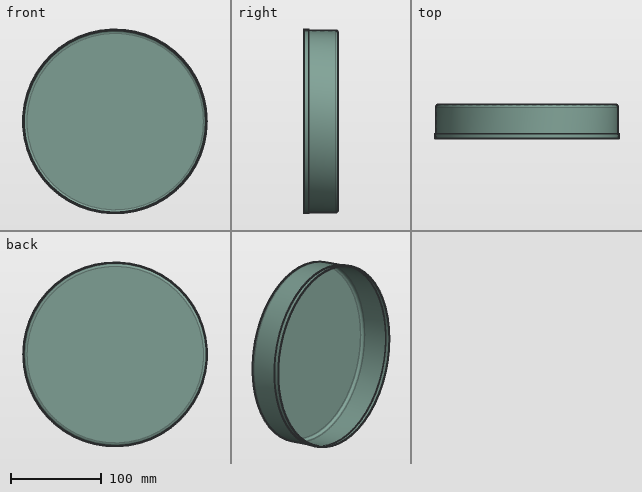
import cadquery as cq

rim_diameter = 203.0
sheet_thickness = 0.5
hem_inner_diameter = rim_diameter - 2 * sheet_thickness
wall_diameter = 201.3
bore_diameter = wall_diameter - 2 * sheet_thickness
height = 38.0
hem_width = 5.3
outer_corner_radius = 3.5
inner_corner_radius = outer_corner_radius - sheet_thickness

rim_radius = rim_diameter / 2
hem_inner_radius = hem_inner_diameter / 2
wall_radius = wall_diameter / 2
bore_radius = bore_diameter / 2

open_y = -height / 2
closed_y = height / 2
floor_y = closed_y - sheet_thickness
hem_end_y = open_y + hem_width

fold_outer_radius = (rim_radius - bore_radius) / 2
fold_inner_radius = (hem_inner_radius - wall_radius) / 2
fold_center_radius = (rim_radius + bore_radius) / 2
fold_center_y = open_y + fold_outer_radius


def disc(diameter, start_y, end_y):
    """Solid disc on the Y axis between two Y positions."""
    plane = cq.Workplane("XZ", origin=(0, start_y, 0))
    return plane.circle(diameter / 2).extrude(start_y - end_y)


body = disc(wall_diameter, fold_center_y, closed_y)
body = body.faces(">Y").edges().fillet(outer_corner_radius)
cavity = disc(bore_diameter, fold_center_y, floor_y)
cavity = cavity.faces(">Y").edges().fillet(inner_corner_radius)
cup = body.cut(cavity)

hem = (
    cq.Workplane("XY")
    .moveTo(bore_radius, fold_center_y)
    .threePointArc((fold_center_radius, open_y), (rim_radius, fold_center_y))
    .lineTo(rim_radius, hem_end_y)
    .lineTo(hem_inner_radius, hem_end_y)
    .lineTo(hem_inner_radius, fold_center_y)
    .threePointArc(
        (fold_center_radius, fold_center_y - fold_inner_radius),
        (wall_radius, fold_center_y),
    )
    .close()
    .revolve(360, (0, 0, 0), (0, 1, 0))
)

result = cup.union(hem)